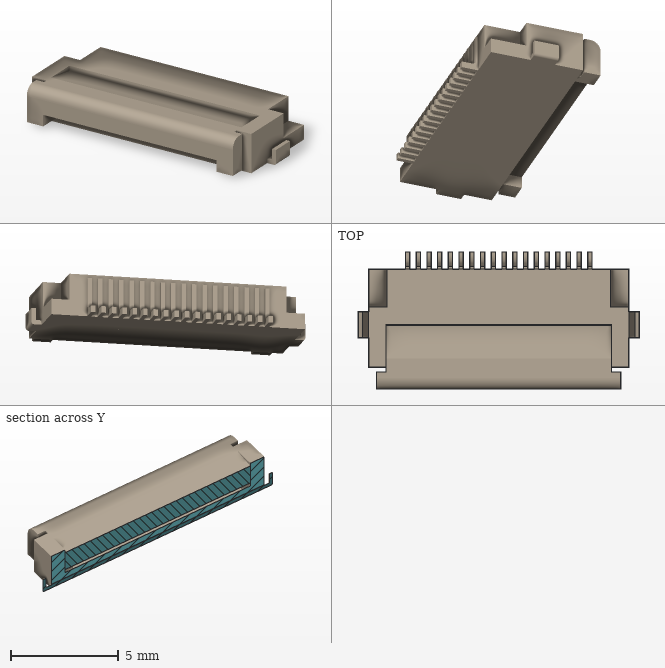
import cadquery as cq


overall_width = 13.1
overall_depth = 6.4
height = 2.0

housing_width = 12.13
housing_front = 1.02
housing_back = 5.6
corner_step_width = 0.86
corner_step_depth = 1.77
corner_step_height = 0.75

strap_front = 2.4
strap_length = 1.22
strap_thickness = 0.21
strap_height = 0.79
strap_inner_radius = 0.04
strap_outer_radius = 0.12

slider_width = 11.4
neck_width = 10.53
window_width = 9.59
flange_depth = 0.81
slider_back = 2.97
slider_leg_back = strap_front
slider_bottom = 0.16
window_top = 0.75
floor_top = 0.59
nose_radius = 0.51
ramp_start = 1.41
ramp_drop = 0.26
end_gap = 0.04
recess_back = slider_back + end_gap

contact_count = 18
contact_row = 8.5
contact_pitch = contact_row / (contact_count - 1)
contact_width = 0.21
contact_top = 1.82
leg_thickness = 0.12
foot_thickness = 0.31
contact_bend_radius = 0.18


def block(width, y_front, y_back, z_bottom, z_top):
    """Box centred on X = 0 between the given Y and Z limits."""
    size = (width, y_back - y_front, z_top - z_bottom)
    return cq.Workplane("XY").box(*size, centered=(True, False, False)).translate((0, y_front, z_bottom))


def make_strap():
    """U-shaped strap under the housing with an upright solder tab at each end."""
    strap = block(overall_width, strap_front, strap_front + strap_length, 0, strap_height)
    strap = strap.edges("|Y and <Z").fillet(strap_outer_radius)
    inside = block(
        overall_width - 2 * strap_thickness,
        strap_front,
        strap_front + strap_length,
        strap_thickness,
        strap_height,
    )
    inside = inside.edges("|Y and <Z").fillet(strap_inner_radius)
    return strap.cut(inside)


def make_contact(x):
    """L-shaped contact tail: a leg on the housing back and a foot on the mounting plane."""
    leg_back = housing_back + leg_thickness
    tail = (
        cq.Workplane("YZ")
        .moveTo(housing_back, 0)
        .lineTo(overall_depth, 0)
        .lineTo(overall_depth, foot_thickness)
        .lineTo(leg_back + contact_bend_radius, foot_thickness)
        .radiusArc((leg_back, foot_thickness + contact_bend_radius), contact_bend_radius)
        .lineTo(leg_back, contact_top)
        .lineTo(housing_back, contact_top)
        .close()
        .extrude(contact_width / 2, both=True)
    )
    return tail.translate((x, 0, 0))


def make_housing():
    """Housing with its slider recess, cable floor, rear corner steps and contact tails."""
    housing = block(housing_width, housing_front, housing_back, 0, height)

    housing = housing.cut(block(neck_width, housing_front, recess_back, floor_top, height))

    channels = block(neck_width, housing_front, slider_leg_back, slider_bottom, floor_top)
    cable_floor = block(window_width, housing_front, slider_leg_back, slider_bottom, floor_top)
    housing = housing.cut(channels.cut(cable_floor))

    step_front = housing_back - corner_step_depth
    behind_step = block(housing_width, step_front, housing_back, corner_step_height, height)
    centre = block(housing_width - 2 * corner_step_width, step_front, housing_back, corner_step_height, height)
    housing = housing.cut(behind_step.cut(centre))

    for i in range(contact_count):
        housing = housing.union(make_contact(i * contact_pitch - contact_row / 2))

    return housing.cut(block(housing_width, strap_front, strap_front + strap_length, 0, strap_thickness))


def make_slider():
    """Slider with a rounded wide flange, a narrower neck, a sloped tongue and a cable window."""
    slider = block(slider_width, 0, flange_depth, slider_bottom, height)
    slider = slider.edges("|X and >Z and <Y").fillet(nose_radius)
    slider = slider.union(block(neck_width, flange_depth, slider_back, slider_bottom, height))

    slope = (
        cq.Workplane("YZ")
        .moveTo(ramp_start, height)
        .lineTo(slider_back, height)
        .lineTo(slider_back, height - ramp_drop)
        .close()
        .extrude(neck_width / 2, both=True)
    )
    slider = slider.cut(slope)

    slider = slider.cut(block(window_width, 0, slider_back, slider_bottom, window_top))

    return slider.cut(block(neck_width, slider_leg_back, slider_back, slider_bottom, window_top))


housing = make_housing()
slider = make_slider()
strap = make_strap()

result = cq.Compound.makeCompound([housing.val(), slider.val(), strap.val()])